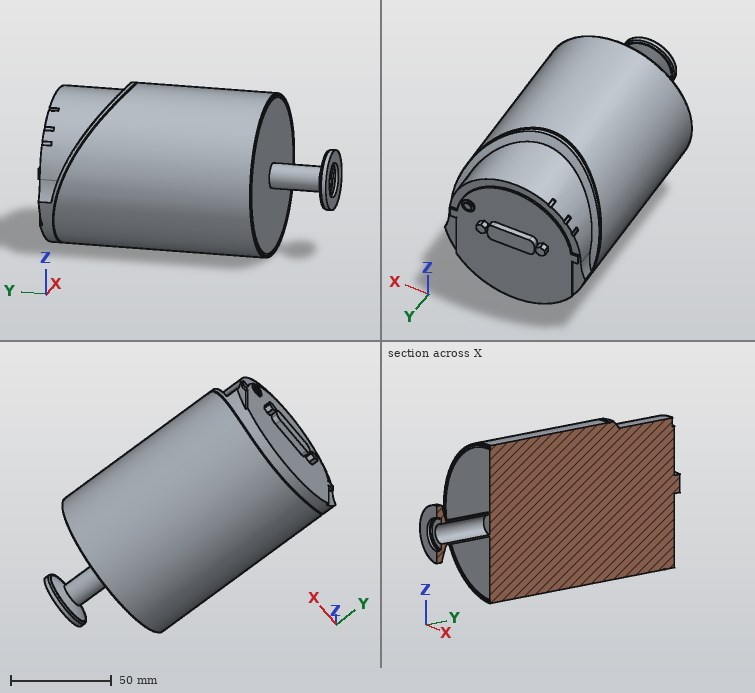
import cadquery as cq
import math


housing_radius = 82.0 / 2
housing_edge_chamfer = 0.5
outside_radius = housing_radius + 1.5
front_ring_radius = 40.1
front_ring_width = 1.0
front_ring_depth = 0.3

shoulder_radius = 119.1
shoulder_axis_y = -12.2
shoulder_axis_z = -40.8
seam_outer_radius = 117.3
seam_width = 0.5
seam_depth = 0.3

neck_radius = 74.2 / 2
neck_end_y = 109.6
flare_end_z = -11.1

panel_end_y = 110.8
panel_radius = 32.5
ear_half_width = 35.9
ear_bottom_z = -0.5
ear_height = 5.1

slot_angles = (28, 40, 58)
slot_width = 1.9
slot_length = 4.8
slot_depth = 0.6

connector_center_z = 2.2
connector_width = 26.2
connector_height = 9.6
connector_depth = 3.2
connector_corner_radius = 2.9
standoff_spacing = 33.4
standoff_across_flats = 5.1
standoff_length = 3.5

button_x = 25.5
button_z = 11.7
button_steps = ((7.0, 0.7), (4.5, 1.3))

pipe_radius = 12.7 / 2
flange_radius = 15.0
flange_face_y = -31.5
flange_rim_width = 2.3
flange_bevel_inset = 0.5
flange_bevel_length = 1.0
flange_cone_radius = 13.8
flange_cone_length = 2.5
bore_radius = 5.1
recess_radius = 17.0 / 2
recess_depth = 1.6
recess_floor_radius = 8.0
recess_floor_depth = 2.6


def xz_plane(y):
    """Workplane parallel to XZ at the given y, with its normal along +Y and local y along +Z."""
    return cq.Workplane(cq.Plane(origin=(0, y, 0), xDir=(-1, 0, 0), normal=(0, 1, 0)))


def rod(radius, start_y, end_y, x=0, z=0):
    """Solid cylinder along Y."""
    return xz_plane(start_y).center(-x, z).circle(radius).extrude(end_y - start_y)


def shoulder_cylinder(radius):
    """Cylinder along X, centred on the axis of the curved shoulder."""
    return (
        cq.Workplane("YZ")
        .center(shoulder_axis_y, shoulder_axis_z)
        .circle(radius)
        .extrude(outside_radius, both=True)
    )


def make_housing():
    blank = rod(housing_radius, 0, panel_end_y)
    return blank.faces("<Y").chamfer(housing_edge_chamfer)


def make_neck_surround():
    """Material cut away behind the shoulder to leave a round neck with sides that flare out below."""
    flare_end_x = math.sqrt(housing_radius**2 - flare_end_z**2)
    flare_offset = flare_end_x - neck_radius
    flare_radius = (flare_end_z**2 + flare_offset**2) / (2 * flare_offset)
    half_angle = math.asin(-flare_end_z / flare_radius) / 2
    flare_mid_x = neck_radius + flare_radius * (1 - math.cos(half_angle))
    flare_mid_z = -flare_radius * math.sin(half_angle)
    surround = (
        xz_plane(0)
        .moveTo(-flare_end_x, flare_end_z)
        .threePointArc((-flare_mid_x, flare_mid_z), (-neck_radius, 0))
        .threePointArc((0, neck_radius), (neck_radius, 0))
        .threePointArc((flare_mid_x, flare_mid_z), (flare_end_x, flare_end_z))
        .lineTo(outside_radius, flare_end_z)
        .lineTo(outside_radius, outside_radius)
        .lineTo(-outside_radius, outside_radius)
        .lineTo(-outside_radius, flare_end_z)
        .close()
        .extrude(panel_end_y)
    )
    return surround.cut(shoulder_cylinder(shoulder_radius))


def make_panel_surround():
    """Layer cut away around the raised panel: an arch open at the bottom, with an ear at each side."""
    thickness = panel_end_y - neck_end_y
    arch = (
        xz_plane(neck_end_y)
        .moveTo(-panel_radius, 0)
        .threePointArc((0, panel_radius), (panel_radius, 0))
        .lineTo(panel_radius, -outside_radius)
        .lineTo(-panel_radius, -outside_radius)
        .close()
        .extrude(thickness)
    )
    ears = (
        xz_plane(neck_end_y)
        .center(0, ear_bottom_z + ear_height / 2)
        .rect(2 * ear_half_width, ear_height)
        .extrude(thickness)
    )
    return rod(outside_radius, neck_end_y, panel_end_y).cut(arch).cut(ears)


def make_connector():
    shell = (
        xz_plane(panel_end_y)
        .center(0, connector_center_z)
        .rect(connector_width, connector_height)
        .extrude(connector_depth)
        .edges("|Y")
        .fillet(connector_corner_radius)
    )
    standoffs = (
        xz_plane(panel_end_y)
        .center(0, connector_center_z)
        .rarray(standoff_spacing, 1.5, 2, 1)
        .polygon(6, standoff_across_flats / math.cos(math.pi / 6))
        .extrude(standoff_length)
    )
    for standoff in standoffs.solids().vals():
        center = standoff.Center()
        axis_end = center + cq.Vector(0, 1.5, 0)
        shell = shell.union(cq.Workplane(standoff.rotate(center, axis_end, 90)))
    return shell


def make_button():
    button = cq.Workplane()
    for diameter, height in button_steps:
        button = button.union(rod(diameter / 2, panel_end_y, panel_end_y + height, button_x, button_z))
    return button


def make_inlet():
    """Pipe with a clamping flange, revolved about Y."""
    bevel_start_y = flange_face_y + flange_rim_width
    cone_start_y = bevel_start_y + flange_bevel_length
    return (
        cq.Workplane("XY")
        .moveTo(0, 0)
        .lineTo(pipe_radius, 0)
        .lineTo(pipe_radius, cone_start_y + flange_cone_length)
        .lineTo(flange_cone_radius, cone_start_y)
        .lineTo(flange_radius - flange_bevel_inset, cone_start_y)
        .lineTo(flange_radius, bevel_start_y)
        .lineTo(flange_radius, flange_face_y)
        .lineTo(0, flange_face_y)
        .close()
        .revolve(360, (0, 0), (0, 1))
    )


def make_bore():
    """Pipe bore, widened at the flange face by a recess with a small step in its wall."""
    recess = rod(recess_radius, flange_face_y, flange_face_y + recess_depth)
    recess_floor = rod(recess_floor_radius, flange_face_y, flange_face_y + recess_floor_depth)
    return rod(bore_radius, flange_face_y, 0).union(recess).union(recess_floor)


def make_seam():
    """Thin groove around the housing, parallel to the curved shoulder."""
    band = shoulder_cylinder(seam_outer_radius).cut(shoulder_cylinder(seam_outer_radius - seam_width))
    groove_floor = rod(housing_radius - seam_depth, 0, panel_end_y)
    return band.intersect(rod(outside_radius, 0, panel_end_y)).cut(groove_floor)


def make_front_ring():
    """Shallow ring groove in the front face of the housing."""
    return rod(front_ring_radius, 0, front_ring_depth).cut(
        rod(front_ring_radius - front_ring_width, 0, front_ring_depth)
    )


def make_slot(angle):
    """Slot open to the rear, at the given angle above the -X direction."""
    return (
        cq.Workplane("XY")
        .box(2 * slot_depth, slot_length, slot_width)
        .translate((-neck_radius, neck_end_y - slot_length / 2, 0))
        .rotate((0, 0, 0), (0, 1, 0), angle)
    )


result = make_housing()
for surround in (make_neck_surround(), make_panel_surround()):
    result = result.cut(surround)
for feature in (make_connector(), make_button(), make_inlet()):
    result = result.union(feature)
for hollow in (make_bore(), make_seam(), make_front_ring()):
    result = result.cut(hollow)
for slot_angle in slot_angles:
    result = result.cut(make_slot(slot_angle))